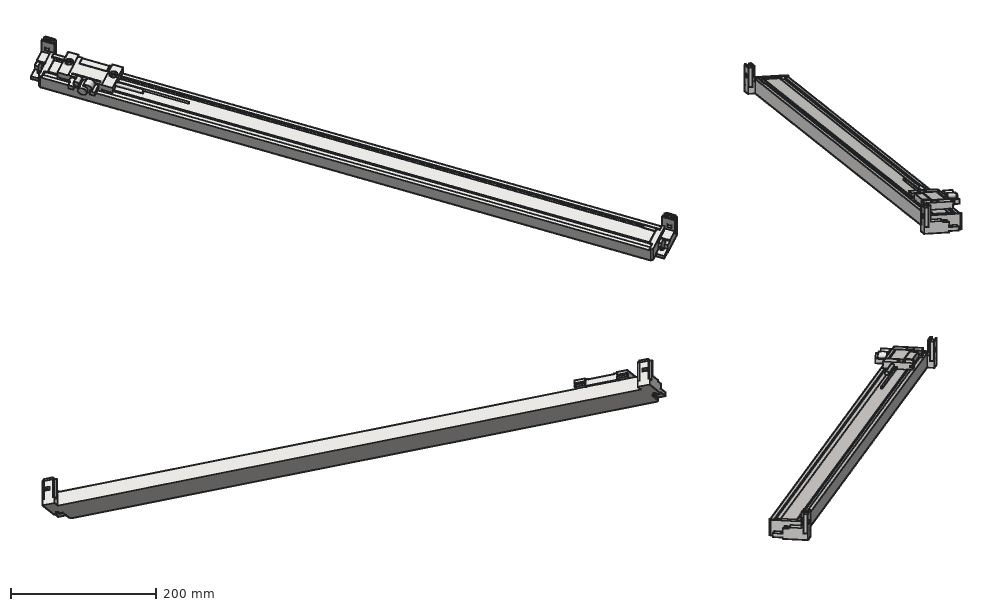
import cadquery as cq

total_length = 934.0

rail_end_gap = 19.0
rail_width = 48.0
rail_height = 21.0
groove_depth = 3.0
front_groove_y = (6.0, 14.0)
back_groove_y = (36.0, 42.0)
groove_plug_length = 24.0
groove_plug_drop = 1.0

plate_thickness = 5.0
plate_height = 22.0
plate_corner = 3.0
plate_tab_y = (11.0, 39.0)
plate_tab_length = 5.0

bracket_length = 19.0
foot_length = 12.0
foot_y = 8.0
foot_z = (2.0, 7.5)
block_y = 22.0
block_height = 15.0
step_y = 31.0
step_height = 17.0
slot_length = 11.0
slot_width = 5.0
slot_x = 7.5
slot_y = 23.0

flange_y = (49.0, 58.0)
flange_top = 39.0
flange_groove_y = (51.0, 57.0)
flange_groove_depth = 3.0
flange_groove_base = 9.0
flange_back_chamfer = 3.0
window_x = (5.0, 11.0)
window_z = (21.5, 26.0)

head_x = 40.0
head_length = 81.0
head_y = (6.0, 43.0)
head_z = (24.0, 35.0)
ear_length = 16.0
ear_back_y = 47.0
ear_step = 0.5
back_notch_depth = 4.0
back_notch_z = (27.0, 30.0)
bore_y = 30.0
bore_radius = 3.0
counterbore_radius = 6.0
counterbore_depth = 4.0
neck_y = (6.0, 41.0)
pocket_x = (63.0, 103.0)
pocket_front_y = 32.0
pocket_depth = 1.0
score_x = (60.0, 102.0)
score_y = (10.0, 11.0)

latch_x = (60.0, 101.0)
latch_front_y = -2.0
latch_z = (25.0, 32.0)
knuckle_y = (-7.0, 6.0)
knuckle_x = ((68.0, 77.0), (81.0, 96.0))
tab_x = ((62.0, 69.0), (93.0, 101.0))
tab_front_y = -9.0
bolt_x = 83.0
bolt_z = 29.0
bolt_radius = 7.0
bolt_front_y = -11.0

sleeve_radius = 3.0
sleeve_y = 19.0
sleeve_z = 29.0
sleeve_length = 40.0
wire_radius = 1.4
wire_y = 24.0
wire_z = 26.0
wire_length = 106.0

head_end = head_x + head_length


def box(x, y, z):
    """Box between the (low, high) limits given along each axis."""
    size = [limits[1] - limits[0] for limits in (x, y, z)]
    return cq.Workplane("XY").box(*size, centered=False).translate((x[0], y[0], z[0]))


def y_cylinder(x, y, z, radius):
    """Cylinder along Y, between the (low, high) limits y."""
    return cq.Workplane("XZ", origin=(x, y[1], z)).circle(radius).extrude(y[1] - y[0])


def z_cylinder(x, y, z, radius):
    """Cylinder along Z, between the (low, high) limits z."""
    return cq.Workplane("XY", origin=(x, y, z[0])).circle(radius).extrude(z[1] - z[0])


def make_rail_bar():
    rail_x = (rail_end_gap, total_length - rail_end_gap)
    bar = box(rail_x, (0, rail_width), (0, rail_height))
    groove_base = rail_height - groove_depth
    for groove_y in (front_groove_y, back_groove_y):
        bar = bar.cut(box(rail_x, groove_y, (groove_base, rail_height)))
    plug_x = (rail_x[1] - groove_plug_length, rail_x[1])
    return bar.union(box(plug_x, back_groove_y, (groove_base, rail_height - groove_plug_drop)))


def make_end_plate():
    """Plate over the rail's end, with a tab that reaches over the rail's top."""
    plate_x = (rail_end_gap - plate_thickness, rail_end_gap)
    plate = box(plate_x, (0, rail_width), (0, plate_height))
    plate = plate.faces("<X").edges("|Z").edges("<Y").chamfer(plate_corner)
    tab_reach = (rail_end_gap, rail_end_gap + plate_tab_length)
    return plate.union(box(tab_reach, plate_tab_y, (rail_height, plate_height)))


def make_flange():
    """Upright plate behind the rail, grooved around its sides and top, with a window."""
    flange_x = (0, bracket_length)
    groove_front, groove_back = flange_groove_y
    neck_x = (flange_groove_depth, bracket_length - flange_groove_depth)
    neck_z = (flange_groove_base, flange_top - flange_groove_depth)
    back_plate = box(flange_x, (groove_back, flange_y[1]), (0, flange_top))
    back_plate = back_plate.faces(">Z").edges("|Y").chamfer(flange_back_chamfer)
    front_plate = box(flange_x, (flange_y[0], groove_front), (0, flange_top))
    neck = box(neck_x, flange_groove_y, neck_z)
    base = box(flange_x, flange_groove_y, (0, flange_groove_base))
    flange = front_plate.union(base).union(neck).union(back_plate)
    return flange.cut(box(window_x, flange_y, window_z))


def make_bracket():
    foot = box((0, foot_length), (foot_y, flange_y[0]), foot_z)
    block = box((0, bracket_length), (block_y, flange_y[0]), (0, block_height))
    step = box((0, bracket_length), (step_y, flange_y[0]), (0, step_height))
    slot = (
        cq.Workplane("XY", origin=(slot_x, slot_y, 0))
        .slot2D(slot_length, slot_width, 90)
        .extrude(step_height)
    )
    return foot.union(block).union(step).cut(slot).union(make_flange())


def make_rail():
    rail = make_rail_bar()
    for end_part in (make_end_plate(), make_bracket()):
        mirrored = end_part.mirror("YZ", (total_length / 2, 0, 0))
        rail = rail.union(end_part).union(mirrored)
    return rail


def make_ear(start):
    """Mounting ear at one end of the head, with a counterbored hole and a notched back."""
    ear_x = (start, start + ear_length)
    ear_top = head_z[1] - ear_step
    ear = box(ear_x, (head_y[0], ear_back_y), (head_z[0], ear_top))
    ear = ear.cut(box(ear_x, (ear_back_y - back_notch_depth, ear_back_y), back_notch_z))
    centre_x = start + ear_length / 2
    ear = ear.cut(z_cylinder(centre_x, bore_y, (head_z[0], ear_top), bore_radius))
    counterbore_z = (ear_top - counterbore_depth, ear_top)
    return ear.cut(z_cylinder(centre_x, bore_y, counterbore_z, counterbore_radius))


def make_head_block():
    """Middle of the head, standing on the rail, with a shallow pocket and a score line on top."""
    block_x = (head_x + ear_length, head_end - ear_length)
    block = box(block_x, head_y, head_z)
    block = block.union(box(block_x, neck_y, (rail_height, head_z[0])))
    cut_z = (head_z[1] - pocket_depth, head_z[1])
    block = block.cut(box(pocket_x, (pocket_front_y, head_y[1]), cut_z))
    return block.cut(box(score_x, score_y, cut_z))


def make_latch():
    latch = box(latch_x, (latch_front_y, head_y[0]), latch_z)
    for tab in tab_x:
        latch = latch.union(box(tab, (tab_front_y, head_y[0]), latch_z))
    for left, right in knuckle_x:
        radius = (right - left) / 2
        latch = latch.union(y_cylinder((left + right) / 2, knuckle_y, flange_top - radius, radius))
    return latch.union(y_cylinder(bolt_x, (bolt_front_y, head_y[0]), bolt_z, bolt_radius))


def make_cable(y, z, radius, length):
    return cq.Workplane("YZ", origin=(head_end, y, z)).circle(radius).extrude(length)


def make_head():
    head = make_head_block()
    for start in (head_x, head_end - ear_length):
        head = head.union(make_ear(start))
    sleeve = make_cable(sleeve_y, sleeve_z, sleeve_radius, sleeve_length)
    wire = make_cable(wire_y, wire_z, wire_radius, wire_length)
    return head.union(make_latch()).union(sleeve).union(wire)


rail = make_rail()
head = make_head()
result = cq.Compound.makeCompound([rail.val(), head.val()])